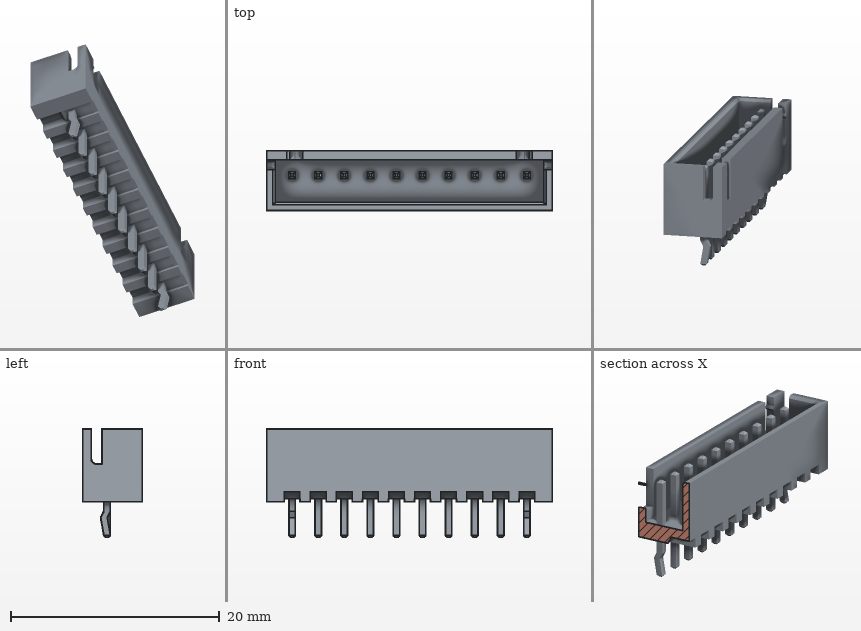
import cadquery as cq

pin_count = 10
pitch = 2.5
end_margin = 2.45
front_offset = 3.4
rear_offset = 2.35
housing_height = 7.0
floor_height = 2.0

end_wall = 0.85
front_wall = 0.8
rear_wall = 0.85
rim_chamfer = 0.25

end_slot_width = 1.0
end_slot_bottom = 3.65
end_slot_radius = 0.5

rear_slot_width = 1.5
rear_slot_inset = 1.95
rear_slot_bottom = 3.1
rear_slot_radius = 0.75

barb_reach = 0.25
barb_top_drop = 0.9

notch_width = 1.5
notch_front_height = 1.0
notch_through_height = 0.3
notch_roof_depth = 2.0
notch_slope_depth = 0.42

pin_width = 0.64
pin_top = housing_height - 0.5
pin_bottom = -3.4
pin_tip_chamfer = 0.2

kink_offset = 0.3
kink_start = -0.9
kink_end = -1.5

pin_xs = [(i - (pin_count - 1) / 2) * pitch for i in range(pin_count)]
housing_length = (pin_count - 1) * pitch + 2 * end_margin
half_length = housing_length / 2
front_y = -front_offset
rear_y = rear_offset
rear_wall_y = rear_y - rear_wall
pin_tip_width = pin_width - 2 * pin_tip_chamfer


def block(x0, x1, y0, y1, z0, z1):
    """Axis-aligned box between two opposite corners."""
    return cq.Workplane("XY").box(x1 - x0, y1 - y0, z1 - z0, centered=False).translate((x0, y0, z0))


def mirrored_pair(shape):
    """A shape together with its mirror image at the other end of the housing."""
    return shape.union(shape.mirror("YZ"))


def cavity():
    """Main cavity with a lead-in chamfer along the front and end walls."""
    x_in = half_length - end_wall
    y_in = front_y + front_wall
    pocket = block(-x_in, x_in, y_in, rear_wall_y, floor_height, housing_height)

    x_out = x_in + rim_chamfer
    y_out = y_in - rim_chamfer
    chamfer_base = housing_height - rim_chamfer
    lead_in = (
        cq.Workplane("XY", origin=(0, 0, chamfer_base))
        .polyline([(-x_in, y_in), (x_in, y_in), (x_in, rear_wall_y), (-x_in, rear_wall_y)])
        .close()
        .workplane(offset=rim_chamfer)
        .polyline([(-x_out, y_out), (x_out, y_out), (x_out, rear_wall_y), (-x_out, rear_wall_y)])
        .close()
        .loft(ruled=True)
    )
    return pocket.union(lead_in)


def end_slots():
    """Slots beside the rear wall through both end walls, rounded on the rear side."""
    slot = block(
        half_length - end_wall, half_length,
        rear_wall_y - end_slot_width, rear_wall_y,
        end_slot_bottom, housing_height,
    )
    return mirrored_pair(slot.edges("|X and >Y and <Z").fillet(end_slot_radius))


def rear_slots():
    """Slots through the rear wall, rounded at the bottom on the side of the nearer end."""
    outer_x = half_length - rear_slot_inset
    slot = block(outer_x - rear_slot_width, outer_x, rear_wall_y, rear_y, rear_slot_bottom, housing_height)
    return mirrored_pair(slot.edges("|Y and >X and <Z").fillet(rear_slot_radius))


def barbs():
    """Small 45 degree catches that project from the corner posts into the rear slots."""
    root_x = half_length - rear_slot_inset
    root_z = housing_height - barb_top_drop
    barb = (
        cq.Workplane("XZ", origin=(0, rear_y, 0))
        .moveTo(root_x, root_z)
        .lineTo(root_x - barb_reach, root_z - barb_reach)
        .lineTo(root_x, root_z - 2 * barb_reach)
        .close()
        .extrude(rear_wall)
    )
    return mirrored_pair(barb)


def notch(x):
    """Underside channel at one pin: deep behind the front face, then sloping to a shallow run to the rear."""
    slope_y = front_y + notch_roof_depth
    return (
        cq.Workplane("YZ", origin=(x - notch_width / 2, 0, 0))
        .moveTo(front_y, 0)
        .lineTo(front_y, notch_front_height)
        .lineTo(slope_y, notch_front_height)
        .lineTo(slope_y + notch_slope_depth, notch_through_height)
        .lineTo(rear_y, notch_through_height)
        .lineTo(rear_y, 0)
        .close()
        .extrude(notch_width)
    )


def pin_tip(x, shoulder_z, end_z):
    """Tapered square tip from a pin shoulder to its end."""
    return (
        cq.Workplane("XY", origin=(x, 0, shoulder_z))
        .rect(pin_width, pin_width)
        .workplane(offset=end_z - shoulder_z)
        .rect(pin_tip_width, pin_tip_width)
        .loft(ruled=True)
    )


def pin(x, kinked):
    """Square pin tapered at both ends; a kinked pin's tail bows toward the rear."""
    half = pin_width / 2
    upper_z = pin_top - pin_tip_chamfer
    lower_z = pin_bottom + pin_tip_chamfer
    profile = cq.Workplane("YZ", origin=(x - half, 0, 0)).moveTo(half, upper_z).lineTo(-half, upper_z)
    if kinked:
        profile = profile.lineTo(-half, kink_start).lineTo(kink_offset - half, kink_end)
    profile = profile.lineTo(-half, lower_z).lineTo(half, lower_z)
    if kinked:
        profile = profile.lineTo(kink_offset + half, kink_end).lineTo(half, kink_start)
    shank = profile.close().extrude(pin_width)
    upper_tip = pin_tip(x, upper_z, pin_top)
    lower_tip = pin_tip(x, lower_z, pin_bottom)
    return shank.union(upper_tip).union(lower_tip)


result = block(-half_length, half_length, front_y, rear_y, 0, housing_height)
result = result.cut(cavity()).cut(end_slots()).cut(rear_slots()).union(barbs())
for pin_x in pin_xs:
    result = result.cut(notch(pin_x))

for pin_x in pin_xs:
    result = result.union(pin(pin_x, pin_x in (pin_xs[0], pin_xs[-1])))